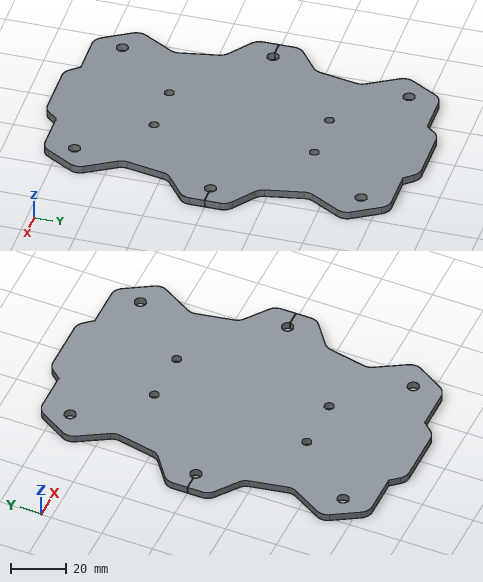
import cadquery as cq

length = 140.4
width = 97.4
thickness = 3.0

tab_corner = (11.8, length / 2)
tab_root = (16.1, 65.0)
shoulder_corner = (33.7, tab_root[1])
ear_tip = (42.4, 50.1)
waist_corner = (33.7, 35.0)
wing_root = (37.0, 17.1)
wing_corner = (width / 2, 8.3)

corner_radius = 5.0

mount_diameter = 4.4
ear_hole = (31.5, 53.8)
wing_hole_x = 41.1
inner_diameter = 3.5
inner_hole = (10.0, 30.0)

slit_width = 0.3


def mirrored(point):
    """Return the four copies of a point about the X and Y axes."""
    x, y = point
    return [(x, y), (-x, y), (-x, -y), (x, -y)]


def round_corners(body, corners, radius):
    """Round the vertical edges at the mirrored copies of each corner."""
    for corner in corners:
        for x, y in mirrored(corner):
            nearest_edge = cq.selectors.NearestToPointSelector((x, y, thickness / 2))
            body = body.edges(nearest_edge).fillet(radius)
    return body


def drill(body, points, diameter):
    """Cut through holes at the given points."""
    return body.cut(cq.Workplane("XY").pushPoints(points).circle(diameter / 2).extrude(thickness))


right_top = [tab_corner, tab_root, shoulder_corner, ear_tip, waist_corner, wing_root, wing_corner]
right_side = right_top + [(x, -y) for x, y in reversed(right_top)]
left_side = [(-x, y) for x, y in reversed(right_side)]
plate = cq.Workplane("XY").polyline(right_side + left_side).close().extrude(thickness)

rounded_corners = [tab_corner, shoulder_corner, ear_tip, waist_corner, wing_root, wing_corner]
plate = round_corners(plate, rounded_corners, corner_radius)

wing_holes = [(-wing_hole_x, 0), (wing_hole_x, 0)]
plate = drill(plate, mirrored(ear_hole) + wing_holes, mount_diameter)
plate = drill(plate, mirrored(inner_hole), inner_diameter)

slit_length = width / 2 - wing_hole_x
slit_center_x = wing_hole_x + slit_length / 2
slits = (
    cq.Workplane("XY")
    .pushPoints([(-slit_center_x, 0), (slit_center_x, 0)])
    .rect(slit_length, slit_width)
    .extrude(thickness)
)
result = plate.cut(slits)